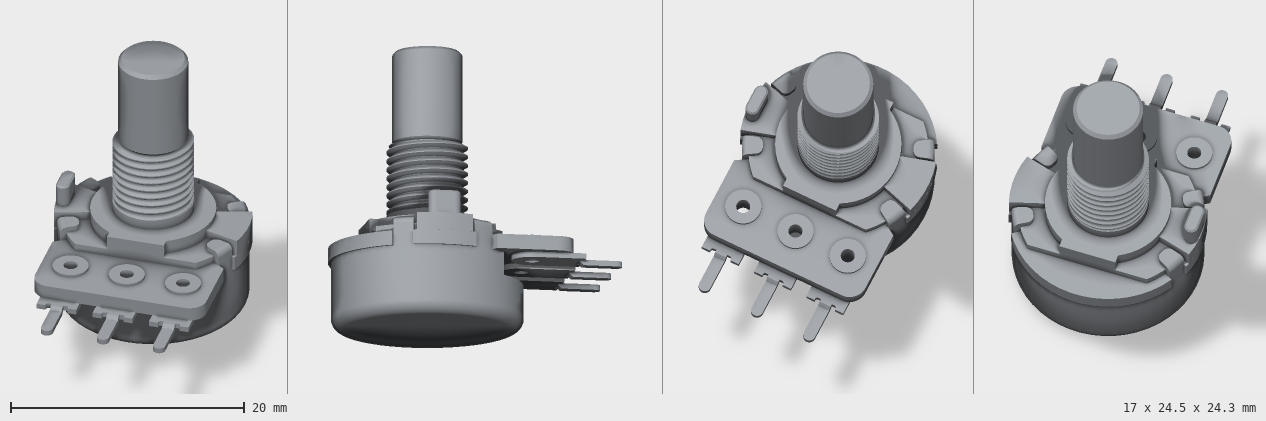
import cadquery as cq
import math

ledge_z = 3.85
board_bottom_z = 5.85
board_top_z = 7.1
plate_top_z = 7.8
ear_top_z = 8.6
hub_top_z = 9.05
collar_top_z = 9.95
key_top_z = 10.6
thread_top_z = 16.1
shaft_top_z = 24.3

can_radius = 16.5 / 2
can_bottom_fillet = 1.0
flat_distance = 5.5
tab_thickness = 0.55
tab_bend_radius = 0.54
tab_start_angle = 19.0
tab_end_angle = 31.5
tab_tip_radius = 6.45
tab_tip_fillet = 0.6
tab_inner_radius = can_radius - tab_thickness
tab_mid_angle = (tab_start_angle + tab_end_angle) / 2
tab_angles = [tab_mid_angle, 180 - tab_mid_angle, 180 + tab_mid_angle, -tab_mid_angle]
tab_sweep = tab_end_angle - tab_start_angle

board_radius = 8.5
board_width = 15.25
board_front_y = -11.53
board_corner_radius = 1.5

hub_radius = 5.4
hub_bar_width = 5.05
ear_half_angle = 16.7
key_width = 1.2
key_length = 2.8
key_center_x = -7.8
key_chamfer = 0.15
thread_diameter = 7.0
thread_root_diameter = 6.05
thread_pitch = 0.75
thread_crest_width = 0.09
thread_flank_angle = 30.0
thread_crest_z = 10.1
shaft_diameter = 6.0
shaft_chamfer = 0.3

terminal_spacing = 5.0
eyelet_y = -8.16
eyelet_bore = 1.2
eyelet_diameter = 2.0
eyelet_flange_diameter = 3.1
eyelet_flange_height = 0.25
terminal_thickness = 0.47
pad_width = 3.53
pad_front_y = -12.55
notch_width = 0.45
notch_depth = 0.32
notch_fillet = 0.2
leg_width = 1.05
leg_drop = 0.3
leg_bend_angle = 45.0
leg_bend_y = -12.47
leg_tip_y = -16.0

overlap = 0.05


def polar(radius, degrees):
    angle = math.radians(degrees)
    return (radius * math.cos(angle), radius * math.sin(angle))


def cylinder(diameter, bottom_z, top_z):
    return cq.Workplane("XY").workplane(offset=bottom_z).circle(diameter / 2).extrude(top_z - bottom_z)


def sector(inner_radius, outer_radius, mid_angle, sweep, bottom_z, top_z):
    """Block bounded by two concentric arcs and two radial sides."""
    start = mid_angle - sweep / 2
    end = mid_angle + sweep / 2
    return (
        cq.Workplane("XY")
        .workplane(offset=bottom_z)
        .moveTo(*polar(inner_radius, start))
        .lineTo(*polar(outer_radius, start))
        .threePointArc(polar(outer_radius, mid_angle), polar(outer_radius, end))
        .lineTo(*polar(inner_radius, end))
        .threePointArc(polar(inner_radius, mid_angle), polar(inner_radius, start))
        .close()
        .extrude(top_z - bottom_z)
    )


def make_tab(mid_angle):
    """Upright strip of the can wall, bent inward over the plate."""
    tab_top_z = plate_top_z + tab_thickness
    upright = sector(tab_inner_radius, can_radius, mid_angle, tab_sweep, board_bottom_z, tab_top_z)
    lip = sector(tab_tip_radius, can_radius, mid_angle, tab_sweep, plate_top_z, tab_top_z)
    for side in (-1, 1):
        corner = polar(tab_tip_radius, mid_angle + side * tab_sweep / 2)
        tip_corner = cq.selectors.NearestToPointSelector((*corner, plate_top_z))
        lip = lip.edges("|Z").edges(tip_corner).fillet(tab_tip_fillet)
    bend = cq.selectors.NearestToPointSelector((*polar(can_radius, mid_angle), tab_top_z))
    return upright.union(lip).edges(bend).fillet(tab_bend_radius)


def make_can():
    can = cylinder(2 * can_radius, 0, board_bottom_z).faces("<Z").edges().fillet(can_bottom_fillet)
    front_step = (
        cq.Workplane("XY")
        .workplane(offset=ledge_z)
        .rect(2 * can_radius, can_radius - flat_distance, centered=(True, False))
        .extrude(board_bottom_z - ledge_z)
        .translate((0, -can_radius, 0))
    )
    can = can.cut(front_step)
    for mid_angle in tab_angles:
        can = can.union(make_tab(mid_angle), clean=False)
    return can.clean()


def terminal_positions():
    return [(side * terminal_spacing, eyelet_y) for side in (-1, 0, 1)]


def make_board():
    thickness = board_top_z - board_bottom_z
    disc = cylinder(2 * board_radius, board_bottom_z, board_top_z)
    tongue = (
        cq.Workplane("XY")
        .workplane(offset=board_bottom_z)
        .rect(board_width, -board_front_y, centered=(True, False))
        .extrude(thickness)
        .translate((0, board_front_y, 0))
        .edges("|Z and <Y")
        .fillet(board_corner_radius)
    )
    board = disc.union(tongue)
    slot_reach = board_radius + board_width
    for mid_angle in tab_angles:
        slot = sector(tab_inner_radius, slot_reach, mid_angle, tab_sweep, board_bottom_z, board_top_z)
        board = board.cut(slot)
    eyelet_holes = (
        cq.Workplane("XY")
        .workplane(offset=board_bottom_z)
        .pushPoints(terminal_positions())
        .circle(eyelet_diameter / 2)
        .extrude(thickness)
    )
    return board.cut(eyelet_holes)


def make_thread():
    """Helical ridge, trimmed flat at the collar and at the thread end."""
    depth = (thread_diameter - thread_root_diameter) / 2
    flank_rise = depth * math.tan(math.radians(thread_flank_angle))
    crest_half = thread_crest_width / 2
    root_half = crest_half + flank_rise * (1 + overlap / depth)
    root_radius = thread_root_diameter / 2 - overlap
    crest_radius = thread_diameter / 2
    start_z = thread_crest_z - thread_pitch
    turns = math.ceil((thread_top_z - start_z) / thread_pitch) + 1
    helix = cq.Wire.makeHelix(thread_pitch, turns * thread_pitch, root_radius)
    ridge = (
        cq.Workplane("XZ")
        .moveTo(root_radius, -root_half)
        .lineTo(crest_radius, -crest_half)
        .lineTo(crest_radius, crest_half)
        .lineTo(root_radius, root_half)
        .close()
        .sweep(cq.Workplane(helix), isFrenet=True)
        .translate((0, 0, start_z))
    )
    return ridge.intersect(cylinder(2 * thread_diameter, collar_top_z, thread_top_z))


def make_mounting_plate():
    slab_depth = 2 * flat_distance
    slab = cq.Workplane("XY").box(2 * board_radius, slab_depth, hub_top_z, centered=(True, True, False))
    plate = cylinder(2 * tab_inner_radius, board_top_z, plate_top_z).intersect(slab)
    hub = cylinder(2 * hub_radius, board_top_z, hub_top_z)
    hub_bar = (
        cq.Workplane("XY")
        .workplane(offset=board_top_z)
        .rect(hub_bar_width, slab_depth)
        .extrude(hub_top_z - board_top_z)
    )
    plate = plate.union(hub.intersect(slab)).union(hub_bar)
    ear_root_radius = thread_diameter / 2
    for ear_angle in (0, 180):
        ear = sector(ear_root_radius, board_radius, ear_angle, 2 * ear_half_angle, board_top_z, ear_top_z)
        plate = plate.union(ear)
    key = (
        cq.Workplane("XY")
        .workplane(offset=board_top_z)
        .center(key_center_x, 0)
        .slot2D(key_length, key_width, 90)
        .extrude(key_top_z - board_top_z)
        .faces(">Z")
        .edges()
        .chamfer(key_chamfer)
    )
    return plate.union(key)


def make_bushing():
    """Plate, collar, thread and shaft in one piece."""
    collar = cylinder(thread_diameter, board_top_z, collar_top_z)
    thread_core = cylinder(thread_root_diameter, board_top_z, thread_top_z)
    shaft = cylinder(shaft_diameter, thread_top_z, shaft_top_z).edges().chamfer(shaft_chamfer)
    threaded_neck = thread_core.union(make_thread()).union(shaft)
    return make_mounting_plate().union(collar).union(threaded_neck)


def make_pad(bottom_z):
    """Round-backed pad, cut back at the front to leave a notch on each side of the leg."""
    half = pad_width / 2
    back_y = eyelet_y + half
    pad = (
        cq.Workplane("XY")
        .workplane(offset=bottom_z)
        .moveTo(-half, pad_front_y)
        .lineTo(half, pad_front_y)
        .lineTo(half, eyelet_y)
        .threePointArc((0, back_y), (-half, eyelet_y))
        .close()
        .extrude(terminal_thickness)
    )
    leg_gap = (
        cq.Workplane("XY")
        .workplane(offset=bottom_z)
        .rect(leg_width + 2 * notch_width, notch_depth, centered=(True, False))
        .extrude(terminal_thickness)
        .edges("|Z and >Y")
        .fillet(notch_fillet)
        .translate((0, pad_front_y, 0))
    )
    return pad.cut(leg_gap)


def make_leg():
    """Strip that drops through a sloping bend and ends in a full round tip."""
    top_z = board_bottom_z
    bottom_z = top_z - terminal_thickness
    bend_run = leg_drop / math.tan(math.radians(leg_bend_angle))
    bend_shift = terminal_thickness * math.tan(math.radians(leg_bend_angle / 2))
    root_y = pad_front_y + notch_depth + overlap
    strip = (
        cq.Workplane("YZ")
        .polyline([
            (root_y, top_z),
            (leg_bend_y, top_z),
            (leg_bend_y - bend_run, top_z - leg_drop),
            (leg_tip_y, top_z - leg_drop),
            (leg_tip_y, bottom_z - leg_drop),
            (leg_bend_y + bend_shift - bend_run, bottom_z - leg_drop),
            (leg_bend_y + bend_shift, bottom_z),
            (root_y, bottom_z),
        ])
        .close()
        .extrude(leg_width, both=True)
    )
    half = leg_width / 2
    round_ended = (
        cq.Workplane("XY")
        .workplane(offset=bottom_z - leg_drop)
        .moveTo(-half, root_y)
        .lineTo(-half, leg_tip_y + half)
        .threePointArc((0, leg_tip_y), (half, leg_tip_y + half))
        .lineTo(half, root_y)
        .close()
        .extrude(terminal_thickness + leg_drop)
    )
    return strip.intersect(round_ended)


def make_terminal():
    """Pad, leg and the hollow eyelet that passes through the board and clamps its top."""
    pad_bottom_z = board_bottom_z - terminal_thickness
    flange_top_z = board_top_z + eyelet_flange_height
    eyelet = (
        cylinder(eyelet_diameter, pad_bottom_z, flange_top_z)
        .union(cylinder(eyelet_flange_diameter, board_top_z, flange_top_z))
        .translate((0, eyelet_y, 0))
    )
    bore = cylinder(eyelet_bore, pad_bottom_z, flange_top_z).translate((0, eyelet_y, 0))
    return make_pad(pad_bottom_z).union(make_leg()).union(eyelet).cut(bore)


can = make_can()
board = make_board()
bushing = make_bushing()
terminals = [make_terminal().translate((x, 0, 0)) for x, _ in terminal_positions()]

result = cq.Compound.makeCompound(
    [can.val(), board.val(), bushing.val(), *[terminal.val() for terminal in terminals]]
)